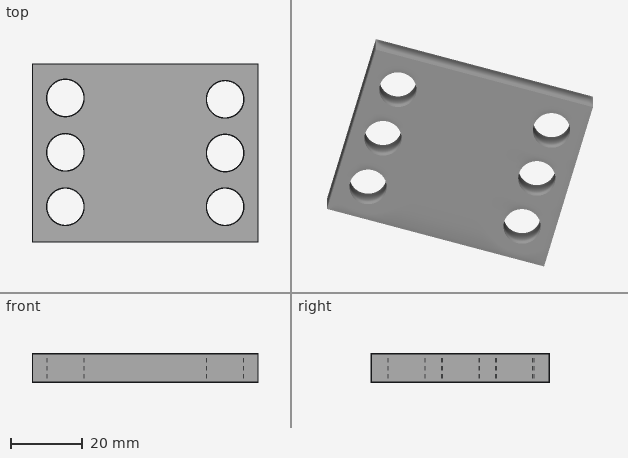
import cadquery as cq

length = 63.0
width = 49.75
thickness = 8.0

hole_diameter = 10.4
holes_per_column = 3
column_offset = 22.3
first_row_y = -15.0
left_pitch = 15.2
right_pitch = 15.0


def column_points(x, pitch):
    """Hole centres of one column, starting at the shared first row."""
    return [(x, first_row_y + row * pitch) for row in range(holes_per_column)]


hole_points = column_points(-column_offset, left_pitch) + column_points(column_offset, right_pitch)

plate = cq.Workplane("XY").box(length, width, thickness)
result = plate.faces(">Z").workplane().pushPoints(hole_points).hole(hole_diameter)